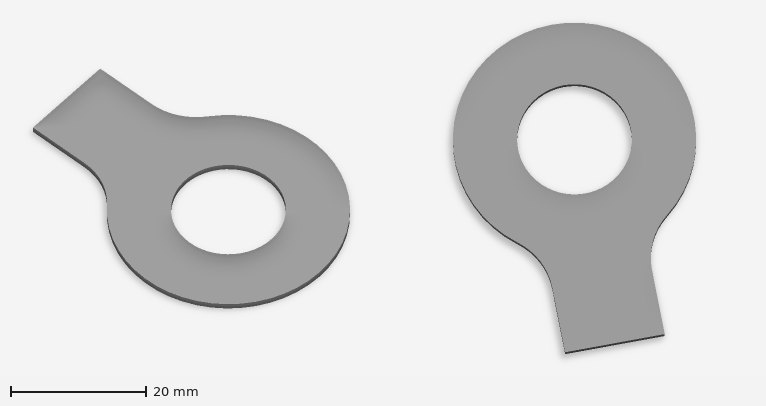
import cadquery as cq
import math

length = 49.95
disc_diameter = 35.95
hole_diameter = 17.0
tab_width = 15.0
neck_radius = 10.0
thickness = 1.0

disc_radius = disc_diameter / 2
half_tab = tab_width / 2
tab_end_x = disc_radius - length

neck_center_y = half_tab + neck_radius
center_distance = disc_radius + neck_radius
neck_center_x = -math.sqrt(center_distance**2 - neck_center_y**2)

disc_share = disc_radius / center_distance
join_x = neck_center_x * disc_share
join_y = neck_center_y * disc_share

tab_side_angle = -math.pi / 2
disc_side_angle = math.atan2(-neck_center_y, -neck_center_x)
middle_angle = (tab_side_angle + disc_side_angle) / 2
neck_mid_x = neck_center_x + neck_radius * math.cos(middle_angle)
neck_mid_y = neck_center_y + neck_radius * math.sin(middle_angle)

blank = (
    cq.Workplane("XY")
    .moveTo(tab_end_x, -half_tab)
    .lineTo(neck_center_x, -half_tab)
    .threePointArc((neck_mid_x, -neck_mid_y), (join_x, -join_y))
    .threePointArc((disc_radius, 0), (join_x, join_y))
    .threePointArc((neck_mid_x, neck_mid_y), (neck_center_x, half_tab))
    .lineTo(tab_end_x, half_tab)
    .close()
    .extrude(thickness)
)

bore = cq.Workplane("XY").circle(hole_diameter / 2).extrude(thickness)

result = blank.cut(bore)